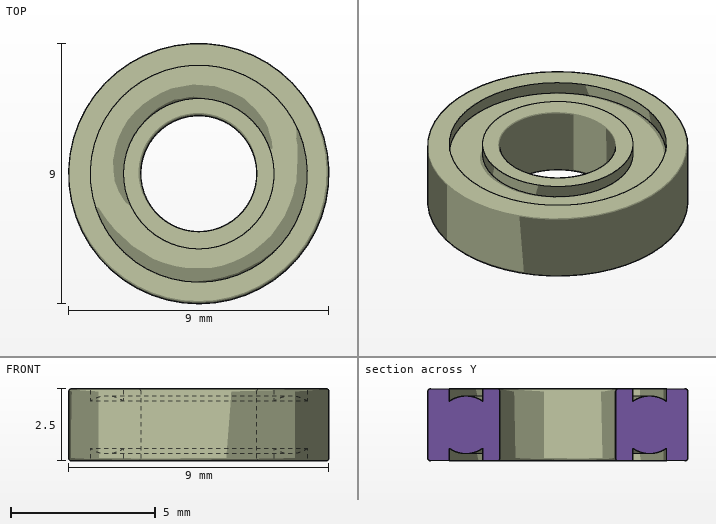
import cadquery as cq
import math

outer_radius = 4.5
bore_radius = 2.0
width = 2.5
edge_fillet = 0.1

inner_shoulder_radius = 2.6
outer_shoulder_radius = 3.75

ball_radius = 1.0
pitch_radius = (inner_shoulder_radius + outer_shoulder_radius) / 2

half_gap = (outer_shoulder_radius - inner_shoulder_radius) / 2
shoulder_height = math.sqrt(ball_radius**2 - half_gap**2)

half_width = width / 2


def bearing_section():
    """Half section in the YZ plane: two rings joined by the ball bulges."""
    return (
        cq.Workplane("YZ")
        .moveTo(-outer_radius, -half_width)
        .lineTo(-outer_shoulder_radius, -half_width)
        .lineTo(-outer_shoulder_radius, -shoulder_height)
        .threePointArc((-pitch_radius, -ball_radius), (-inner_shoulder_radius, -shoulder_height))
        .lineTo(-inner_shoulder_radius, -half_width)
        .lineTo(-bore_radius, -half_width)
        .lineTo(-bore_radius, half_width)
        .lineTo(-inner_shoulder_radius, half_width)
        .lineTo(-inner_shoulder_radius, shoulder_height)
        .threePointArc((-pitch_radius, ball_radius), (-outer_shoulder_radius, shoulder_height))
        .lineTo(-outer_shoulder_radius, half_width)
        .lineTo(-outer_radius, half_width)
        .close()
    )


def round_edges(body):
    """Round the outside edges of the outer ring and the bore edges of the inner ring."""
    outside_edges = cq.selectors.RadiusNthSelector(-1)
    bore_edges = cq.selectors.RadiusNthSelector(0)
    face_edges = body.faces("<Z or >Z").edges("%CIRCLE")
    rims = face_edges.edges(outside_edges).add(face_edges.edges(bore_edges))
    return rims.fillet(edge_fillet)


bearing = bearing_section().revolve(360, (0, 0, 0), (0, 1, 0))
result = round_edges(bearing)